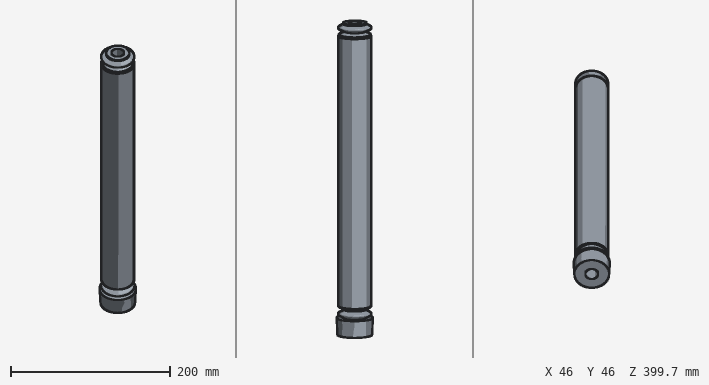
import cadquery as cq

total_height = 399.7
bore_diameter = 16.0
body_diameter = 42.0
shoulder_diameter = 40.0
crest_height = 3.0
neck_diameter = 26.0

foot_base_diameter = 44.0
foot_rim_diameter = 46.0
foot_height = 21.5

lower_ring_base_diameter = 28.0
lower_ring_middle = 26.8
lower_neck_height = 32.0

body_bottom = 37.0
body_top = 382.5
lower_shoulder_height = 36.0
upper_shoulder_height = 385.0

upper_neck_height = 388.5
upper_ring_middle = 393.5
top_lip_height = 1.5
top_face_diameter = 29.5

lower_crest_bottom = lower_ring_middle - crest_height / 2
lower_crest_top = lower_ring_middle + crest_height / 2
upper_crest_bottom = upper_ring_middle - crest_height / 2
upper_crest_top = upper_ring_middle + crest_height / 2
top_lip_bottom = total_height - top_lip_height

profile = (
    cq.Workplane("XZ")
    .moveTo(0, 0)
    .lineTo(foot_base_diameter / 2, 0)
    .lineTo(foot_rim_diameter / 2, foot_height)
    .lineTo(lower_ring_base_diameter / 2, foot_height)
    .lineTo(shoulder_diameter / 2, lower_crest_bottom)
    .threePointArc(
        (body_diameter / 2, lower_ring_middle),
        (shoulder_diameter / 2, lower_crest_top),
    )
    .lineTo(neck_diameter / 2, lower_neck_height)
    .lineTo(shoulder_diameter / 2, lower_shoulder_height)
    .lineTo(body_diameter / 2, body_bottom)
    .lineTo(body_diameter / 2, body_top)
    .lineTo(shoulder_diameter / 2, upper_shoulder_height)
    .lineTo(neck_diameter / 2, upper_neck_height)
    .lineTo(shoulder_diameter / 2, upper_crest_bottom)
    .threePointArc(
        (body_diameter / 2, upper_ring_middle),
        (shoulder_diameter / 2, upper_crest_top),
    )
    .lineTo(top_face_diameter / 2, top_lip_bottom)
    .lineTo(top_face_diameter / 2, total_height)
    .lineTo(0, total_height)
    .close()
)
column = profile.revolve(360, (0, 0, 0), (0, 1, 0))

bore = cq.Workplane("XY").circle(bore_diameter / 2).extrude(total_height)

result = column.cut(bore)